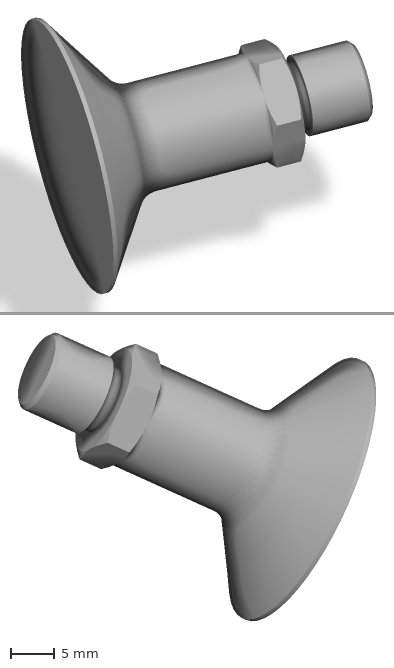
import cadquery as cq
import math


cup_diameter = 33.0
rim_thickness = 0.55
cone_meets_body_y = 7.6
flare_radius = 3.0

body_diameter = 13.0
body_end_y = 23.0

hex_across_flats = body_diameter
hex_end_y = 27.0
hex_chamfer_length = 0.55

neck_diameter = 8.1
neck_end_y = 28.5
thread_diameter = 9.72
total_length = 36.0
thread_chamfer = 0.5


def cylinder(diameter, start_y, end_y):
    """Solid cylinder about the Y axis between two stations."""
    plane = cq.Workplane("XZ", origin=(0, start_y, 0))
    return plane.circle(diameter / 2).extrude(start_y - end_y)


def make_cup_and_body():
    """Revolve the rim, cone, concave flare and cylindrical body."""
    rim_radius = cup_diameter / 2
    body_radius = body_diameter / 2
    cone_angle = math.atan2(rim_radius - body_radius, cone_meets_body_y - rim_thickness)
    flare_end_y = cone_meets_body_y + flare_radius * math.tan(cone_angle / 2)
    flare_center_x = body_radius + flare_radius

    def flare_point(angle):
        """Point on the flare arc, turned by an angle from its tangency with the body."""
        return (
            flare_center_x - flare_radius * math.cos(angle),
            flare_end_y - flare_radius * math.sin(angle),
        )

    profile = (
        cq.Workplane("XY")
        .lineTo(rim_radius, 0)
        .lineTo(rim_radius, rim_thickness)
        .lineTo(*flare_point(cone_angle))
        .threePointArc(flare_point(cone_angle / 2), (body_radius, flare_end_y))
        .lineTo(body_radius, body_end_y)
        .lineTo(0, body_end_y)
        .close()
    )
    return profile.revolve(360, (0, 0, 0), (0, 1, 0))


def make_hexagon():
    """Hexagon with corners on the Z axis and conically chamfered ends."""
    across_corners = hex_across_flats / math.cos(math.pi / 6)
    chamfer_width = (across_corners - hex_across_flats) / 2
    prism = (
        cq.Workplane("XZ", origin=(0, body_end_y, 0))
        .polygon(6, across_corners)
        .extrude(body_end_y - hex_end_y)
        .rotate((0, 0, 0), (0, 1, 0), 30)
    )
    envelope = (
        cylinder(across_corners, body_end_y, hex_end_y)
        .faces("<Y or >Y")
        .edges()
        .chamfer(hex_chamfer_length, chamfer_width)
    )
    return prism.intersect(envelope)


def make_thread():
    """Plain threaded end with a chamfered tip."""
    thread = cylinder(thread_diameter, neck_end_y, total_length)
    return thread.faces(">Y").chamfer(thread_chamfer)


neck = cylinder(neck_diameter, hex_end_y, neck_end_y)
result = make_cup_and_body().union(make_hexagon()).union(neck).union(make_thread())